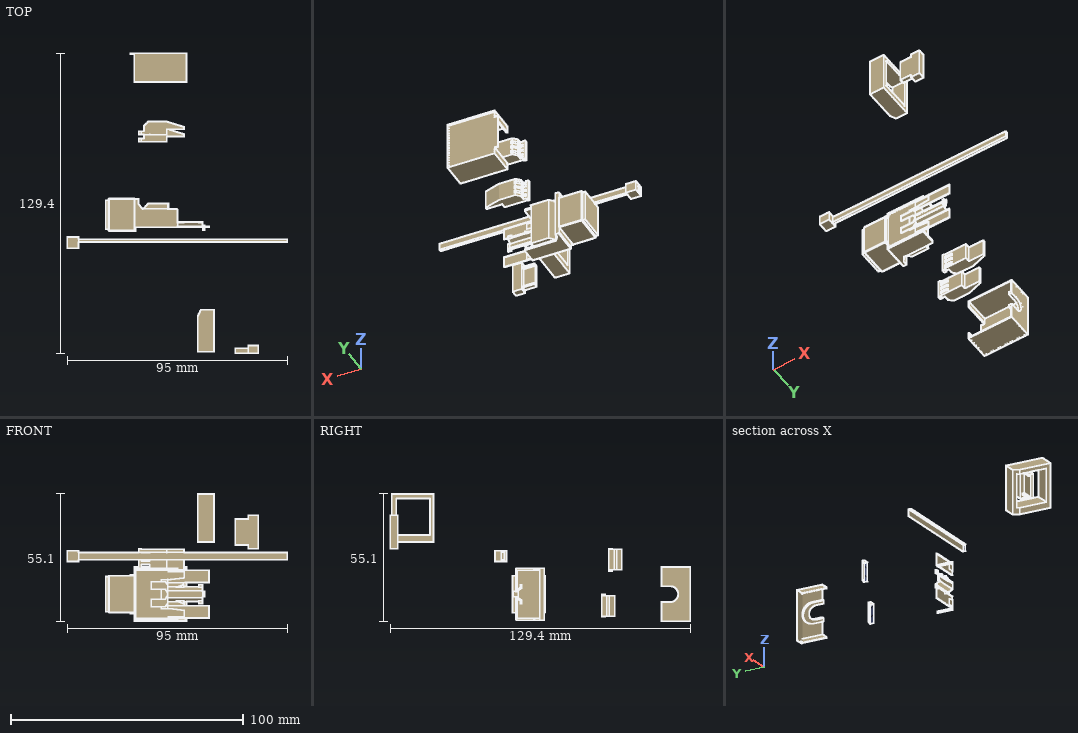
import cadquery as cq
AXIS_Z = -15.8
BACK_Y = 64.7
FRONT_Y = -64.7
BEVEL = 0.4
BEVEL_SLIM = 0.1
SHEET = 0.5


def block(x, y, z):
    """Box from (low, high) limits along each axis."""
    size = (x[1] - x[0], y[1] - y[0], z[1] - z[0])
    return cq.Workplane("XY").box(*size, centered=False).translate((x[0], y[0], z[0]))


def about_axis(half_height):
    """Z limits of a shape symmetric about the jack axis."""
    return AXIS_Z - half_height, AXIS_Z + half_height


def plan_prism(points, z):
    """Outline in the XY plane raised between two heights."""
    return cq.Workplane("XY").workplane(offset=z[0]).polyline(points).close().extrude(z[1] - z[0])


def side_prism(points, x):
    """Outline of (y, height above the jack axis) points drawn out between two X positions."""
    profile = cq.Workplane("YZ").workplane(offset=x[0]).center(0, AXIS_Z)
    return profile.polyline(points).close().extrude(x[1] - x[0])


def mirror_about_axis(shape):
    """Copy of a shape mirrored across the horizontal plane through the jack axis."""
    return shape.mirror("XY", (0, 0, AXIS_Z))


COVER_X = (-18.6, 4.0)
COVER_DEPTH = 12.5
COVER_HALF_HEIGHT = 11.8
COVER_LIP = 3.4
COVER_TAB = 1.5
CABLE_SLOT_RADIUS = 3.4
CABLE_SLOT_TOP = 5.3
COLLAR_RADIUS = 4.9
COLLAR_TOP = 2.3
COLLAR_LENGTH = 0.9


def slot_prism(radius, top, x):
    """Round-topped slot running along Y from the open front of the cover."""
    open_y = BACK_Y - COVER_DEPTH
    arc_y = BACK_Y - top - radius
    return (
        cq.Workplane("YZ").workplane(offset=x[0]).center(0, AXIS_Z)
        .moveTo(open_y, -radius).lineTo(arc_y, -radius)
        .threePointArc((arc_y + radius, 0), (arc_y, radius))
        .lineTo(open_y, radius).close().extrude(x[1] - x[0])
    )


def make_cover():
    y = (BACK_Y - COVER_DEPTH, BACK_Y)
    inner_half = COVER_HALF_HEIGHT - SHEET
    lip_half = COVER_HALF_HEIGHT - COVER_LIP
    wall_x = COVER_X[1] - SHEET
    shell = block(COVER_X, y, about_axis(COVER_HALF_HEIGHT))
    inside_y = (y[0], BACK_Y - SHEET)
    shell = shell.cut(block((COVER_X[0] + SHEET, wall_x), inside_y, about_axis(inner_half)))
    shell = shell.cut(block((COVER_X[0], wall_x), inside_y, about_axis(lip_half)))
    tab_x = (COVER_X[0] - COVER_TAB, COVER_X[0])
    shell = shell.union(block(tab_x, (BACK_Y - SHEET, BACK_Y), about_axis(lip_half)))
    collar_x = (wall_x - COLLAR_LENGTH, wall_x)
    shell = shell.union(slot_prism(COLLAR_RADIUS, COLLAR_TOP, collar_x))
    return shell.cut(slot_prism(CABLE_SLOT_RADIUS, CABLE_SLOT_TOP, (collar_x[0], COVER_X[1])))


CAP_Y = 29.5
CAP_TOP_Z = 3.6
CAP_HEIGHT = 8.9
CAP_HEAD_X = -16.7
CAP_NECK_X = -15.5
CAP_BODY_X = -14.4
CAP_STEP_X = -4.5
CAP_TIP_X = 3.0
CAP_NECK_THICKNESS = 1.5
CAP_THICKNESS = 5.7
CAP_CORNER = 1.8
CAP_STEP = 2.3
CAP_TIP_THICKNESS = 1.0
CAP_HEAD_OVERHANG = (0.3, 0.6)
CAP_SLOT_END_X = -11.9
CAP_SLOTS = ((1.5, 1.0), (4.1, 0.9), (6.7, 1.0))
CAP_SECOND_Y_SHIFT = -3.1
CAP_SECOND_AXIS_Z = -10.9


def make_cap():
    """Upper wire cap: a toothed block with a tapered tail and a bar across its teeth."""
    neck_y = CAP_Y + CAP_NECK_THICKNESS
    rear_y = CAP_Y + CAP_THICKNESS
    tail_y = CAP_Y + CAP_STEP
    z = (CAP_TOP_Z - CAP_HEIGHT, CAP_TOP_Z)
    outline = [
        (CAP_NECK_X, CAP_Y), (CAP_STEP_X, CAP_Y), (CAP_STEP_X, tail_y), (CAP_TIP_X, tail_y),
        (CAP_TIP_X, tail_y + CAP_TIP_THICKNESS), (CAP_STEP_X, rear_y),
        (CAP_BODY_X + CAP_CORNER, rear_y), (CAP_BODY_X, rear_y - CAP_CORNER),
        (CAP_BODY_X, neck_y), (CAP_NECK_X, neck_y),
    ]
    cap = plan_prism(outline, z)
    for start, width in CAP_SLOTS:
        top = CAP_TOP_Z - start
        cap = cap.cut(block((CAP_NECK_X, CAP_SLOT_END_X), (CAP_Y, rear_y), (top - width, top)))
    head_z = (z[0] - CAP_HEAD_OVERHANG[1], z[1] + CAP_HEAD_OVERHANG[0])
    return cap.union(block((CAP_HEAD_X, CAP_NECK_X), (CAP_Y, neck_y), head_z))


def make_caps():
    """The cap and its mirrored, shifted twin."""
    upper = make_cap()
    lower = upper.mirror("XY", (0, 0, CAP_SECOND_AXIS_Z)).translate((0, CAP_SECOND_Y_SHIFT, 0))
    return [upper, lower]


NOSE_X = (-29.8, -18.6)
NOSE_Y = (-12.0, 2.1)
NOSE_HALF_HEIGHT = 8.0
PLUG_LENGTH = 1.2
PLUG_MARGIN = (0.8, 0.4)


def make_nose():
    """Block with bevels on its front rim and along its four long edges."""
    y0, y1 = NOSE_Y
    half = NOSE_HALF_HEIGHT
    slim = half - BEVEL_SLIM
    section = [
        (y0, -slim), (y0 + BEVEL, -half), (y1 - BEVEL, -half), (y1, -slim),
        (y1, slim), (y1 - BEVEL, half), (y0 + BEVEL, half), (y0, slim),
    ]
    return side_prism(section, NOSE_X).faces("<X").edges().chamfer(BEVEL)


def make_plug():
    """Flat plate closing the front of the nose."""
    y = (NOSE_Y[0] + PLUG_MARGIN[0], NOSE_Y[1] - PLUG_MARGIN[0])
    return block((NOSE_X[0] - PLUG_LENGTH, NOSE_X[0]), y, about_axis(NOSE_HALF_HEIGHT - PLUG_MARGIN[1]))


PLATE_X = (-18.0, 13.7)
PLATE_Y = (-10.5, -10.0)
PLATE_HALF_HEIGHT = 10.4
NOTCH_X = -4.1
NOTCH_HALF_HEIGHT = 4.9
PAD_DEPTH = 0.1
WINDOW_DEPTH = 0.3
CRADLE_END_X = 10.9
CRADLE_REAR_Y = -8.0
WING_X = (-3.4, 2.8)
WING_HALF_HEIGHTS = (1.8, 4.1)
RIM_LENGTH = 1.7
HOOK_LENGTH = 0.9
HOOK_Y = (-11.7, -9.6)
HOOK_HALF_HEIGHT = 1.2


def front_relief(points, depth):
    """Cutter for a shallow relief in the plate, from (x, height above the axis) points."""
    sketch = cq.Workplane("XZ", origin=(0, PLATE_Y[0], AXIS_Z)).polyline(points).close()
    return sketch.extrude(-depth)


def make_cradle():
    """Channel with a flat floor and flared sides, plus its wings, end rim and hook."""
    floor_y, rear = PLATE_Y[0], CRADLE_REAR_Y
    flare = [(floor_y, 1.5), (floor_y + SHEET, 2.0), (rear, 3.2)]
    lining = [(rear, 2.6), (floor_y + SHEET, 1.3)]
    half = flare + lining
    section = half + [(y, -z) for y, z in reversed(half)]
    cradle = side_prism(section, (NOTCH_X, CRADLE_END_X))

    root, end = WING_HALF_HEIGHTS
    wing_y = (rear - SHEET, rear)
    wing = (
        cq.Workplane("XZ", origin=(0, wing_y[1], AXIS_Z))
        .polyline([(WING_X[0], root), (WING_X[1], root), (WING_X[1], end)]).close().extrude(SHEET)
    )
    wing = wing.cut(side_prism(lining + [(y, -z) for y, z in reversed(lining)], WING_X))
    rim = block((CRADLE_END_X - RIM_LENGTH, CRADLE_END_X), wing_y, about_axis(end))
    rim = rim.cut(block((CRADLE_END_X - RIM_LENGTH, CRADLE_END_X), wing_y, about_axis(lining[0][1])))
    hook = block((CRADLE_END_X, CRADLE_END_X + HOOK_LENGTH), HOOK_Y, about_axis(HOOK_HALF_HEIGHT))
    return cradle.union(wing).union(mirror_about_axis(wing)).union(rim).union(hook)


def make_tail_plate():
    plate = block(PLATE_X, PLATE_Y, about_axis(PLATE_HALF_HEIGHT))
    plate = plate.cut(block((NOTCH_X, PLATE_X[1]), PLATE_Y, about_axis(NOTCH_HALF_HEIGHT)))
    pad = [
        (-6.9, 0), (-6.9, 6.2), (-3.6, 6.2), (3.0, 7.0), (3.0, 9.7), (-3.9, 9.7),
        (-3.9, PLATE_HALF_HEIGHT), (PLATE_X[1], PLATE_HALF_HEIGHT), (PLATE_X[1], 0),
    ]
    window = [(-11.3, 2.2), (-5.2, 2.2), (NOTCH_X, 0.4), (NOTCH_X, 4.0), (-5.2, 5.5), (-11.3, 5.5)]
    for outline, depth in ((pad, PAD_DEPTH), (window, WINDOW_DEPTH)):
        relief = front_relief(outline, depth)
        plate = plate.cut(relief).cut(mirror_about_axis(relief))
    return plate.union(make_cradle())


HOUSING_X = (NOSE_X[1], 0.1)
HOUSING_FRONT_Y = PLATE_Y[0]
HOUSING_HALF_HEIGHT = 11.3
HOUSING_REAR_Y = -2.5
COLLAR_REAR_Y = 1.8
COLLAR_END_X = -16.7
COLLAR_SLOPE_Y = -0.3
COLLAR_FOOT_X = -15.0
FLANGE_LENGTH = 0.8
RIDGE_X = (-14.8, -3.8)
RIDGE_SLOPE = 2.2
RIDGE_REAR_Y = -0.1
RIDGE_HALF_HEIGHT = 10.5


def make_housing():
    x0, x1 = HOUSING_X
    outline = [
        (x0, HOUSING_FRONT_Y), (x1, HOUSING_FRONT_Y), (x1, HOUSING_REAR_Y - BEVEL),
        (x1 - BEVEL, HOUSING_REAR_Y), (COLLAR_FOOT_X, HOUSING_REAR_Y),
        (COLLAR_END_X, COLLAR_SLOPE_Y), (COLLAR_END_X, COLLAR_REAR_Y), (x0, COLLAR_REAR_Y),
    ]
    housing = plan_prism(outline, about_axis(HOUSING_HALF_HEIGHT))
    housing = housing.faces("<X").edges("|Y or (|Z and <Y)").chamfer(BEVEL)
    half = HOUSING_HALF_HEIGHT
    bevel = side_prism(
        [(HOUSING_FRONT_Y, half), (HOUSING_FRONT_Y, half - BEVEL), (HOUSING_FRONT_Y + BEVEL_SLIM, half)],
        HOUSING_X,
    )
    housing = housing.cut(bevel).cut(mirror_about_axis(bevel))
    ridge = plan_prism(
        [
            (RIDGE_X[0], HOUSING_REAR_Y), (RIDGE_X[0] + RIDGE_SLOPE, RIDGE_REAR_Y),
            (RIDGE_X[1], RIDGE_REAR_Y), (RIDGE_X[1], HOUSING_REAR_Y),
        ],
        about_axis(RIDGE_HALF_HEIGHT),
    )
    flange = block((x0, x0 + FLANGE_LENGTH), (NOSE_Y[0], COLLAR_REAR_Y), about_axis(NOSE_HALF_HEIGHT))
    housing = housing.union(ridge).union(flange)
    bay_y = (HOUSING_FRONT_Y, RIDGE_REAR_Y)
    housing = housing.cut(block((NOTCH_X, x1), bay_y, about_axis(PLATE_HALF_HEIGHT)))
    return housing.cut(block(PLATE_X, PLATE_Y, about_axis(PLATE_HALF_HEIGHT)))


TIE_X = (-47.5, 47.5)
TIE_HEAD_LENGTH = 4.9
TIE_HEAD_Y = (-19.5, -14.5)
TIE_HEAD_Z = (-1.8, 3.0)
STRAP_Y = (-16.8, -15.5)
STRAP_Z = (-1.0, 2.2)
TIE_SLOT_Y = (-18.0, -16.8)
TIE_SLOT_Z = (-0.8, 1.8)
TIE_SLOT_DEPTH = 2.6
TIE_SLIT_Y = (-18.8, -18.6)


def make_tie():
    head_x = (TIE_X[0], TIE_X[0] + TIE_HEAD_LENGTH)
    tie = block(head_x, TIE_HEAD_Y, TIE_HEAD_Z).union(block((head_x[1], TIE_X[1]), STRAP_Y, STRAP_Z))
    slot_x = (TIE_X[0], TIE_X[0] + TIE_SLOT_DEPTH)
    for slot_y in (TIE_SLOT_Y, TIE_SLIT_Y):
        tie = tie.cut(block(slot_x, slot_y, TIE_SLOT_Z))
    return tie


FRAME_X = (8.8, 15.9)
FRAME_Y = (-64.1, -46.0)
FRAME_Z = (6.6, 27.5)
FRAME_CHAMFER_X = 1.3
FRAME_CHAMFER_Y = 2.7
WINDOW_Y = (-62.0, -47.7)
WINDOW_Z = (9.7, 25.4)


def make_frame():
    (x0, x1), (y0, y1) = FRAME_X, FRAME_Y
    outline = [
        (x0, y0), (x1, y0), (x1, y1), (x0 + FRAME_CHAMFER_X, y1), (x0, y1 - FRAME_CHAMFER_Y),
    ]
    return plan_prism(outline, FRAME_Z).cut(block(FRAME_X, WINDOW_Y, WINDOW_Z))


TAB_X = (25.0, 35.0)
TAB_HEAD_X = 30.5
TAB_Z = (5.3, 16.7)
TAB_HEAD_OVERHANG = 1.5
TAB_THICKNESS = 1.3
TAB_RAIL_REAR_Y = -62.5
TAB_RAIL_HEIGHT = 0.8
TAB_HEAD_REAR_Y = -61.4


def make_tab():
    """Plate with a rail along its top and bottom edges and a thick head."""
    z0, z1 = TAB_Z
    plate_x = (TAB_X[0], TAB_HEAD_X)
    head_z = (z0 - TAB_HEAD_OVERHANG, z1 + TAB_HEAD_OVERHANG)
    tab = block((TAB_HEAD_X, TAB_X[1]), (FRONT_Y, TAB_HEAD_REAR_Y), head_z)
    tab = tab.union(block(plate_x, (FRONT_Y, FRONT_Y + TAB_THICKNESS), TAB_Z))
    for rail_z in ((z0, z0 + TAB_RAIL_HEIGHT), (z1 - TAB_RAIL_HEIGHT, z1)):
        tab = tab.union(block(plate_x, (FRONT_Y, TAB_RAIL_REAR_Y), rail_z))
    return tab


cover = make_cover()
caps = make_caps()
nose = make_nose()
plug = make_plug()
tail_plate = make_tail_plate()
housing = make_housing()
tie = make_tie()
frame = make_frame()
tab = make_tab()

bodies = [cover, *caps, nose, plug, tail_plate, housing, tie, frame, tab]
result = cq.Compound.makeCompound([body.val() for body in bodies])